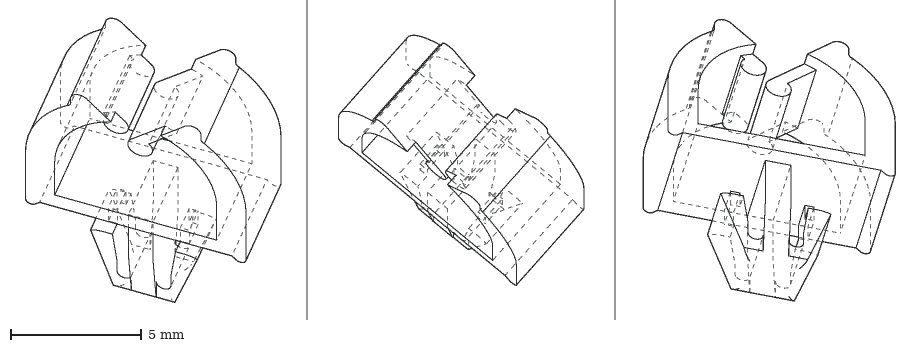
import cadquery as cq
import math

DEPTH = 4.0
OUTER_RADIUS = 4.5
OUTER_SPRING_Z = 8.23
INNER_HALF_WIDTH = 3.3
INNER_RADIUS = 3.65
INNER_SPRING_Z = 8.1
FLOOR_Z = 6.05
BASE_Z = 5.33
FOOT_RADIUS = 0.24
FOOT_INNER_X = 3.92
FOOT_END_ANGLE = math.radians(30)

HEIGHT = 12.6
LIP_RADIUS = 0.38
LIP_X = 2.28
LIP_NECK_Z = 11.95
LIP_BLEND_X = 2.8

BEAD_RADIUS = 0.5
LEFT_BEAD_X = -0.98
RIGHT_BEAD_X = 0.0
LATCH_INSET = 0.5

POST_HALF_WIDTH = 0.5
POST_HALF_DEPTH = 1.41
POST_TAPER_Z = 2.77
POST_END_HALF_DEPTH = 1.05
POST_END_RADIUS = 0.5
PRONG_DEPTH = 2.12
PRONG_TIP_X = 2.18
PRONG_TIP_Z = 3.28
SHOULDER_Z = 3.39
PRONG_END_HALF_WIDTH = 1.17
PRONG_END_RADIUS = 0.4
SLOT_OUTER_X = 1.1
SLOT_BOTTOM_Z = 0.92
SLOT_FLARE_Z = 1.83
EAR_INNER_X = 1.29
EAR_OUTER_X = 1.65
EAR_TOP_Z = 4.21
EAR_DEPTH = 1.01

DIAGONAL = math.sqrt(0.5)
LIP_Z = HEIGHT - LIP_RADIUS
MOUTH_OFFSET = LIP_Z - LIP_X + LIP_RADIUS / DIAGONAL
INNER_CENTER_X = INNER_HALF_WIDTH - INNER_RADIUS


def inner_arc_point(angle):
    """Point on the right inner arc, with the angle measured up from +X."""
    return (INNER_CENTER_X + INNER_RADIUS * math.cos(angle),
            INNER_SPRING_Z + INNER_RADIUS * math.sin(angle))


def outer_arc_point(angle):
    """Point on the right outer arc, with the angle measured up from +X."""
    return (OUTER_RADIUS * math.cos(angle),
            OUTER_SPRING_Z + OUTER_RADIUS * math.sin(angle))


mouth_distance = (INNER_CENTER_X + MOUTH_OFFSET - INNER_SPRING_Z) * DIAGONAL
INNER_END_ANGLE = math.pi / 4 + math.asin(mouth_distance / INNER_RADIUS)
OUTER_END_ANGLE = math.acos(LIP_BLEND_X / OUTER_RADIUS)


def extrude_y(sketch, depth):
    """Extrude an XZ profile symmetrically about Y = 0."""
    return sketch.extrude(depth / 2, both=True)


def mirrored(body):
    return body.union(body.mirror("YZ"))


def clip_half():
    """Right half of the base, wall, foot and lip."""
    foot_x = OUTER_RADIUS - FOOT_RADIUS
    profile = (
        cq.Workplane("XZ")
        .moveTo(0, BASE_Z)
        .lineTo(0, FLOOR_Z)
        .lineTo(INNER_HALF_WIDTH, FLOOR_Z)
        .lineTo(INNER_HALF_WIDTH, INNER_SPRING_Z)
        .threePointArc(inner_arc_point(INNER_END_ANGLE / 2), inner_arc_point(INNER_END_ANGLE))
        .lineTo(LIP_X - LIP_RADIUS * DIAGONAL, LIP_Z + LIP_RADIUS * DIAGONAL)
        .threePointArc((LIP_X, HEIGHT), (LIP_X + LIP_RADIUS, LIP_Z))
        .lineTo(LIP_X + LIP_RADIUS, LIP_NECK_Z)
        .tangentArcPoint(outer_arc_point(OUTER_END_ANGLE), relative=False)
        .threePointArc(outer_arc_point(OUTER_END_ANGLE / 2), (OUTER_RADIUS, OUTER_SPRING_Z))
        .lineTo(OUTER_RADIUS, BASE_Z)
        .threePointArc((foot_x + FOOT_RADIUS * DIAGONAL, BASE_Z - FOOT_RADIUS * DIAGONAL),
                       (foot_x - FOOT_RADIUS * math.sin(FOOT_END_ANGLE),
                        BASE_Z - FOOT_RADIUS * math.cos(FOOT_END_ANGLE)))
        .lineTo(FOOT_INNER_X, BASE_Z)
        .close()
    )
    return extrude_y(profile, DEPTH)


def latch(bead_x):
    """Arm and bead on the right lip; the arm is tangent to the bead."""
    depth = DEPTH - 2 * LATCH_INSET
    bead_z = bead_x + MOUTH_OFFSET - BEAD_RADIUS / DIAGONAL
    shift = BEAD_RADIUS * DIAGONAL
    root_rise = LIP_X - bead_x
    arm = (
        cq.Workplane("XZ")
        .moveTo(bead_x, bead_z)
        .lineTo(bead_x + root_rise, bead_z + root_rise)
        .lineTo(bead_x + root_rise - shift, bead_z + root_rise + shift)
        .lineTo(bead_x - shift, bead_z + shift)
        .close()
    )
    bead = cq.Workplane("XZ").center(bead_x, bead_z).circle(BEAD_RADIUS)
    return extrude_y(arm, depth).union(extrude_y(bead, depth))


def anchor_envelope():
    """Tapered side outline with a rounded end, wide enough for the whole anchor."""
    return (
        cq.Workplane("YZ")
        .polyline([
            (-POST_END_HALF_DEPTH, 0),
            (POST_END_HALF_DEPTH, 0),
            (POST_HALF_DEPTH, POST_TAPER_Z),
            (POST_HALF_DEPTH, BASE_Z),
            (-POST_HALF_DEPTH, BASE_Z),
            (-POST_HALF_DEPTH, POST_TAPER_Z),
        ])
        .close()
        .extrude(PRONG_TIP_X, both=True)
        .faces("<Z").edges("|X").fillet(POST_END_RADIUS)
    )


def prong():
    """Right prong, the slot beside the post, and the ear on its shoulder."""
    slot_radius = (SLOT_OUTER_X - POST_HALF_WIDTH) / 2
    slot_center_z = SLOT_BOTTOM_Z + slot_radius
    profile = (
        cq.Workplane("XZ")
        .moveTo(0, 0)
        .lineTo(0, slot_center_z)
        .lineTo(POST_HALF_WIDTH, slot_center_z)
        .threePointArc((SLOT_OUTER_X - slot_radius, SLOT_BOTTOM_Z),
                       (SLOT_OUTER_X, slot_center_z))
        .lineTo(SLOT_OUTER_X, SLOT_FLARE_Z)
        .lineTo(EAR_INNER_X, SHOULDER_Z)
        .lineTo(EAR_OUTER_X, SHOULDER_Z)
        .tangentArcPoint((PRONG_TIP_X, PRONG_TIP_Z), relative=False)
        .lineTo(PRONG_END_HALF_WIDTH, 0)
        .close()
    )
    body = extrude_y(profile, PRONG_DEPTH)
    end_corner = cq.NearestToPointSelector((PRONG_END_HALF_WIDTH, 0, 0))
    body = body.edges("|Y").edges(end_corner).fillet(PRONG_END_RADIUS)
    ear = cq.Workplane("XY").box(
        EAR_OUTER_X - EAR_INNER_X, EAR_DEPTH, EAR_TOP_Z - SHOULDER_Z, centered=(False, True, False)
    ).translate((EAR_INNER_X, 0, SHOULDER_Z))
    return body.union(ear)


def anchor():
    post = cq.Workplane("XY").box(
        2 * POST_HALF_WIDTH, 2 * POST_HALF_DEPTH, BASE_Z, centered=(True, True, False)
    )
    return mirrored(prong()).union(post).intersect(anchor_envelope())


clip = mirrored(clip_half())
right_latch = latch(RIGHT_BEAD_X)
left_latch = latch(-LEFT_BEAD_X).mirror("YZ")
result = clip.union(right_latch).union(left_latch).union(anchor())